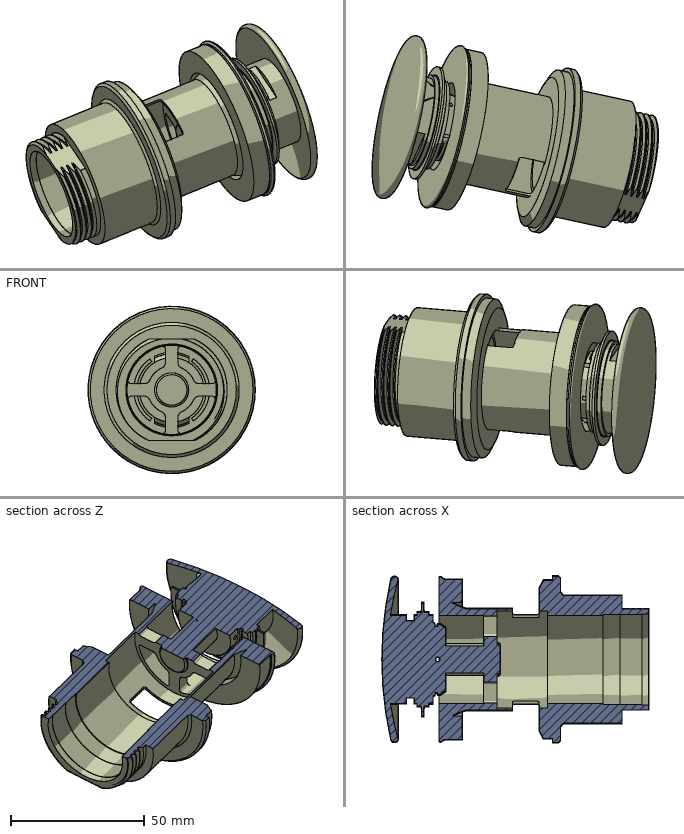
import cadquery as cq
import math

total_length = 100.4

tail_radius = 20.9
tail_length = 10.0
tail_flat = 19.1
thread_depth = 1.4
thread_pitch = 2.3
groove_crest_width = 2.0
groove_root_width = 0.5
thread_clearance = 0.2
thread_end = 9.0
thread_end_angle = 265.0

collar_radius = 24.3
collar_top = 32.2
collar_taper = 1.1
nut_bottom = 33.1
nut_chamfer = 0.9
nut_rim_diameter = 63.0
nut_rim_radius = nut_rim_diameter / 2
nut_rim_top = 36.2
nut_radius = 30.0
nut_top = 41.3
nut_bevel_height = 1.6
nut_bevel_width = 3.2

tube_radius = 19.4
shoulder_bottom = 68.9
shoulder_top = 74.0
window_width = 19.1
window_height = 9.9
window_corner = 0.8

washer_radius = 30.3
washer_bore_radius = 21.5
washer_bottom = 70.1
washer_top = 76.7
flange_radius = 31.2
flange_neck_radius = 30.5
flange_neck_top = 77.3
flange_rim = 78.1
flange_top = 78.9
flange_round = 0.7

mouth_radius = 17.3
mouth_depth = 2.6
socket_radius = 17.2
socket_depth = 10.8
bore_radius = 17.1
bore_depth = 17.3
tube_bore_radius = 16.8

web_bottom = 57.0
web_thickness = 5.0
hub_radius = 9.0
spoke_width = 4.7
hub_fillet = 2.2
spoke_fillet = 1.1
boss_radius = 6.4
boss_height = 1.2
boss_chamfer = 0.7
stem_radius = 6.0

chamber_radius = 18.4
chamber_bottom = 38.2

skirt_radius = 12.1
skirt_bottom = 76.3
skirt_hole_radius = 0.8
skirt_hole_height = 79.3
tab_width = 12.9
tab_reach = 13.6
tab_taper_top = 78.3
tab_root_reach = 14.2
tab_root_bottom = 80.3
tab_slot_width = 8.0
tab_slot_height = 0.9
tab_slot_bottom = 79.4
tab_slot_depth = 1.1

neck_radius = 16.9
neck_bottom = 81.0
groove_inner_radius = 13.1
groove_outer_radius = 14.3
groove_half_angle = 55.0
groove_depth = 1.0
band_radius = 18.0
band_bottom = 82.6
band_top = 87.1
seal_seat_radius = 18.4
seal_seat_height = 1.3
seal_radius = 21.6
seal_bottom = 84.5
seal_thickness = 0.9
slot_width = 18.4
slot_bottom = 88.3
slot_top = 91.2
slot_depth = 2.3
latch_wide = 10.9
latch_narrow = 5.4
pip_radius = 1.8
pip_height = 97.5
pip_offset = 1.2

cap_radius = 31.3
cap_bottom = 94.2
cap_edge_height = 2.9
cap_lip = 1.0
cap_dish_height = 4.1


def turned(points):
    """Solid of revolution about Y from (radius, height) points."""
    return cq.Workplane("XY").polyline(points).close().revolve(360, (0, 0), (0, 1))


def disc(radius, bottom, top):
    """Cylinder about Y between two heights."""
    return cq.Workplane("XZ", origin=(0, bottom, 0)).circle(radius).extrude(bottom - top)


def block(width, bottom, top, depth, z_centre=0.0):
    """Box centred on X, between two heights, with a depth along Z."""
    return cq.Workplane("XY").box(width, top - bottom, depth).translate((0, (bottom + top) / 2, z_centre))


def make_tail():
    root_radius = tail_radius - thread_depth
    helix = cq.Wire.makeHelix(thread_pitch, thread_end + thread_pitch, root_radius)
    half_root = groove_root_width / 2
    flank_slope = (groove_crest_width / 2 - half_root) / thread_depth
    half_mouth = half_root + flank_slope * (thread_depth + thread_clearance)
    groove = (
        cq.Workplane("XZ")
        .polyline([
            (root_radius, -half_root),
            (tail_radius + thread_clearance, -half_mouth),
            (tail_radius + thread_clearance, half_mouth),
            (root_radius, half_root),
        ])
        .close()
        .sweep(cq.Workplane(obj=helix), isFrenet=True)
    )
    turns = (thread_end + thread_pitch) / thread_pitch
    groove = groove.rotate((0, 0, 0), (0, 0, 1), thread_end_angle - 360 * turns)
    groove = groove.translate((0, 0, -thread_pitch)).rotate((0, 0, 0), (1, 0, 0), -90)
    tail = disc(tail_radius, 0, tail_length).cut(groove)
    return tail.intersect(block(2 * tail_radius, 0, tail_length, 2 * tail_flat))


def make_body():
    outline = [
        (0, tail_length),
        (collar_radius, tail_length),
        (collar_radius, collar_top),
        (collar_radius + collar_taper, nut_bottom),
        (nut_rim_radius - nut_chamfer, nut_bottom),
        (nut_rim_radius, nut_bottom + nut_chamfer),
        (nut_rim_radius, nut_rim_top),
        (nut_radius, nut_rim_top),
        (nut_radius, nut_top - nut_bevel_height),
        (nut_radius - nut_bevel_width, nut_top),
        (tube_radius, nut_top),
        (tube_radius, shoulder_bottom),
        (washer_bore_radius, shoulder_top),
        (washer_bore_radius, washer_bottom),
        (washer_radius, washer_bottom),
        (washer_radius, washer_top),
        (0, washer_top),
    ]
    flange = turned([
        (0, washer_top),
        (flange_neck_radius, washer_top),
        (flange_neck_radius, flange_neck_top),
        (flange_radius, flange_rim),
        (flange_radius, flange_top),
        (0, flange_top),
    ])
    flange = flange.faces(">Y").edges().fillet(flange_round)
    bore = turned([
        (0, 0),
        (mouth_radius, 0),
        (mouth_radius, mouth_depth),
        (socket_radius, mouth_depth),
        (socket_radius, socket_depth),
        (bore_radius, socket_depth),
        (bore_radius, bore_depth),
        (tube_bore_radius, bore_depth),
        (tube_bore_radius, chamber_bottom),
        (chamber_radius, chamber_bottom),
        (chamber_radius, web_bottom),
        (tube_bore_radius, web_bottom),
        (tube_bore_radius, flange_top),
        (0, flange_top),
    ])
    windows = block(window_width, nut_top, nut_top + window_height, 3 * tube_radius)
    windows = windows.edges("|Z").fillet(window_corner)
    return turned(outline).union(flange).union(make_tail()).cut(bore).cut(windows)


def make_web():
    web_top = web_bottom + web_thickness
    web = disc(hub_radius, web_bottom, web_top)
    spoke = block(spoke_width, web_bottom, web_top, 2 * tube_radius)
    web = web.union(spoke).union(spoke.rotate((0, 0, 0), (0, 1, 0), 90))
    openings = disc(tube_bore_radius, web_bottom, web_top).cut(web)
    inner_corners = cq.selectors.BoxSelector(
        (-hub_radius, web_bottom, -hub_radius), (hub_radius, web_top, hub_radius))
    openings = openings.edges("|Y").edges(-inner_corners).fillet(spoke_fillet)
    openings = openings.edges("|Y").edges(inner_corners).fillet(hub_fillet)
    boss = disc(boss_radius, web_bottom - boss_height, web_bottom).faces("<Y").chamfer(boss_chamfer)
    ring = disc((tube_bore_radius + tube_radius) / 2, web_bottom, web_top)
    stem = disc(stem_radius, web_bottom, skirt_bottom)
    return ring.cut(openings).union(boss).union(stem)


def make_plug():
    seal_top = seal_bottom + seal_thickness
    seal_middle = seal_bottom + seal_thickness / 2
    plug = (
        disc(skirt_radius, skirt_bottom, neck_bottom)
        .union(disc(neck_radius, neck_bottom, pip_height + 1))
        .union(disc(band_radius, band_bottom, band_top))
        .union(disc(seal_seat_radius, seal_middle - seal_seat_height / 2, seal_middle + seal_seat_height / 2))
        .union(disc(seal_radius, seal_bottom, seal_top))
    )
    tabs = block(tab_width, skirt_bottom, neck_bottom, 2 * tube_radius)
    tab_envelope = turned([
        (0, skirt_bottom),
        (skirt_radius, skirt_bottom),
        (tab_reach, tab_taper_top),
        (tab_reach, tab_root_bottom),
        (tab_root_reach, neck_bottom),
        (0, neck_bottom),
    ])
    plug = plug.union(tabs.intersect(tab_envelope))
    tab_slot_top = tab_slot_bottom + tab_slot_height
    for side in (-1, 1):
        plug = plug.cut(block(slot_width, slot_bottom, slot_top, 2 * slot_depth, side * neck_radius))
        plug = plug.cut(
            block(tab_slot_width, tab_slot_bottom, tab_slot_top, 2 * tab_slot_depth, side * tab_reach))
    latch = (
        cq.Workplane("YZ")
        .polyline([
            (band_top, -latch_narrow / 2),
            (slot_top, -latch_wide / 2),
            (slot_top, latch_wide / 2),
            (band_top, latch_narrow / 2),
        ])
        .close()
        .extrude(-neck_radius)
    )
    hole = cq.Workplane("YZ", origin=(-tube_radius, skirt_hole_height, 0)).circle(skirt_hole_radius)
    plug = plug.union(latch).cut(hole.extrude(2 * tube_radius))
    for start in (-groove_half_angle, 180 - groove_half_angle):
        groove = (
            cq.Workplane("XY")
            .polyline([
                (groove_inner_radius, neck_bottom),
                (groove_outer_radius, neck_bottom),
                (groove_outer_radius, neck_bottom + groove_depth),
                (groove_inner_radius, neck_bottom + groove_depth),
            ])
            .close()
            .revolve(2 * groove_half_angle, (0, 0), (0, 1))
            .rotate((0, 0, 0), (0, 1, 0), start)
        )
        plug = plug.cut(groove)
    pip = cq.Workplane("XY").sphere(pip_radius).translate((-neck_radius, pip_height, pip_offset))
    return plug.union(pip)


def shallow_arc_middle(radius, centre_height, edge_height):
    """Halfway point of a shallow dome arc from its edge to the axis."""
    rise = centre_height - edge_height
    sphere = (radius ** 2 + rise ** 2) / (2 * rise)
    half_angle = math.asin(radius / sphere) / 2
    return sphere * math.sin(half_angle), centre_height - sphere * (1 - math.cos(half_angle))


def make_cap():
    dome_edge = cap_bottom + cap_edge_height
    dish_radius = cap_radius - cap_lip
    dish_top = cap_bottom + cap_dish_height
    dome_radius = cap_radius - cap_edge_height / 2
    profile = (
        cq.Workplane("XY")
        .moveTo(0, dish_top)
        .threePointArc(shallow_arc_middle(dish_radius, dish_top, cap_bottom), (dish_radius, cap_bottom))
        .threePointArc((cap_radius, (cap_bottom + dome_edge) / 2), (dome_radius, dome_edge))
        .threePointArc(shallow_arc_middle(dome_radius, total_length, dome_edge), (0, total_length))
        .close()
    )
    return profile.revolve(360, (0, 0), (0, 1))


result = make_body().union(make_web()).union(make_plug()).union(make_cap())